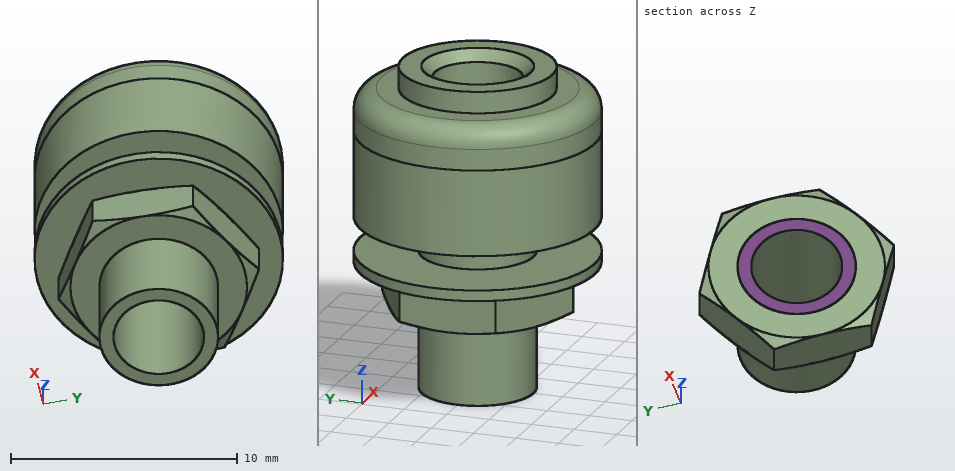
import cadquery as cq
import math

total_height = 15.0
body_diameter = 11.0

tube_diameter = 5.25
bore_diameter = 4.0
head_diameter = 7.0
head_height = 1.0
countersink_diameter = 5.0
countersink_depth = (countersink_diameter - bore_diameter) / 2

cap_height = 2.0
cap_rounding = 1.0
sleeve_height = 4.0
cap_top = total_height - head_height
cap_bottom = cap_top - cap_height
sleeve_bottom = cap_bottom - sleeve_height

washer_bottom = 5.9
washer_thickness = 0.5

nut_bottom = 3.81
nut_height = 2.0
nut_across_flats = 7.82
nut_across_corners = nut_across_flats / math.cos(math.pi / 6)
nut_chamfer_height = 0.22


def ring(bottom, height, outer_diameter, inner_diameter):
    """Plain round ring standing on the given level."""
    return (
        cq.Workplane("XY")
        .workplane(offset=bottom)
        .circle(outer_diameter / 2)
        .circle(inner_diameter / 2)
        .extrude(height)
    )


def make_tube():
    """Through-bored tube with a head and a countersunk mouth."""
    bore_radius = bore_diameter / 2
    profile = [
        (bore_radius, 0),
        (tube_diameter / 2, 0),
        (tube_diameter / 2, cap_top),
        (head_diameter / 2, cap_top),
        (head_diameter / 2, total_height),
        (countersink_diameter / 2, total_height),
        (bore_radius, total_height - countersink_depth),
    ]
    return cq.Workplane("XZ").polyline(profile).close().revolve(360, (0, 0), (0, 1))


def make_cap():
    """Upper bushing with a rounded outer top edge."""
    plain_cap = ring(cap_bottom, cap_height, body_diameter, tube_diameter)
    outer_top_edge = cq.selectors.RadiusNthSelector(-1)
    return plain_cap.faces(">Z").edges(outer_top_edge).fillet(cap_rounding)


def make_nut():
    """Hexagon nut whose corners are turned down to a cone at both ends."""
    corner_radius = nut_across_corners / 2
    face_radius = nut_across_flats / 2
    nut_top = nut_bottom + nut_height
    hexagon = (
        cq.Workplane("XY")
        .workplane(offset=nut_bottom)
        .transformed(rotate=(0, 0, 90))
        .polygon(6, nut_across_corners)
        .circle(tube_diameter / 2)
        .extrude(nut_height)
    )
    turned_profile = [
        (0, nut_bottom),
        (face_radius, nut_bottom),
        (corner_radius, nut_bottom + nut_chamfer_height),
        (corner_radius, nut_top - nut_chamfer_height),
        (face_radius, nut_top),
        (0, nut_top),
    ]
    turned_blank = cq.Workplane("XZ").polyline(turned_profile).close().revolve(360, (0, 0), (0, 1))
    return hexagon.intersect(turned_blank)


tube = make_tube()
cap = make_cap()
sleeve = ring(sleeve_bottom, sleeve_height, body_diameter, tube_diameter)
washer = ring(washer_bottom, washer_thickness, body_diameter, tube_diameter)
nut = make_nut()

result = cq.Compound.makeCompound([tube.val(), cap.val(), sleeve.val(), washer.val(), nut.val()])